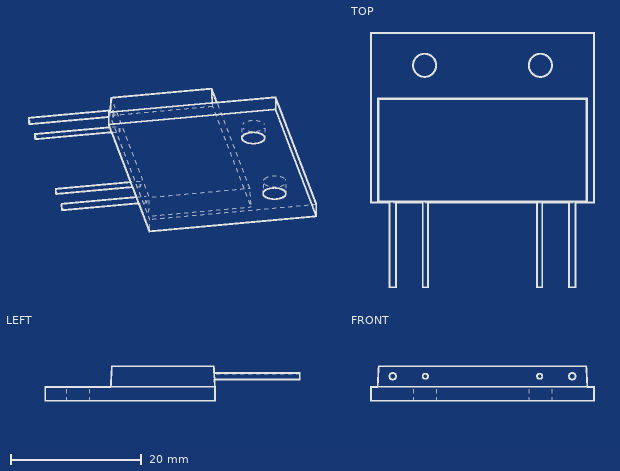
import cadquery as cq
import math

plate_width = 34.2
plate_depth = 26.0
plate_thickness = 2.15

hole_diameter = 3.5
hole_spacing = 17.75
hole_back_margin = 5.0

housing_width = 32.18
housing_depth = 16.0
housing_height = 3.2
draft_angle = 3.0

overall_depth = 39.0
lead_tip_y = plate_depth - overall_depth
lead_z = 3.8
outer_lead_diameter = 1.0
inner_lead_diameter = 0.8
outer_lead_spacing = 27.5
inner_lead_spacing = 17.5


def make_plate():
    """Flat plate with two through holes near its back edge."""
    plate = cq.Workplane("XY").box(plate_width, plate_depth, plate_thickness, centered=(True, False, False))
    hole_y = plate_depth - hole_back_margin
    hole_points = [(side * hole_spacing / 2, hole_y) for side in (-1, 1)]
    holes = cq.Workplane("XY").pushPoints(hole_points).circle(hole_diameter / 2).extrude(plate_thickness)
    return plate.cut(holes)


def make_housing():
    """Block whose four walls lean inward toward the top."""
    return (
        cq.Workplane("XY", origin=(0, housing_depth / 2, plate_thickness))
        .rect(housing_width, housing_depth)
        .extrude(housing_height, taper=draft_angle)
    )


def make_lead(x, diameter, housing):
    """Round lead whose back end is trimmed to the sloping front face."""
    wall_setback = housing_height * math.tan(math.radians(draft_angle))
    rod = (
        cq.Workplane("XZ", origin=(x, wall_setback, lead_z))
        .circle(diameter / 2)
        .extrude(wall_setback - lead_tip_y)
    )
    return rod.cut(housing)


plate = make_plate()
housing = make_housing()
leads = []
for spacing, diameter in (
    (outer_lead_spacing, outer_lead_diameter),
    (inner_lead_spacing, inner_lead_diameter),
):
    for side in (-1, 1):
        leads.append(make_lead(side * spacing / 2, diameter, housing))

result = cq.Compound.makeCompound([plate.val(), housing.val(), *[lead.val() for lead in leads]])